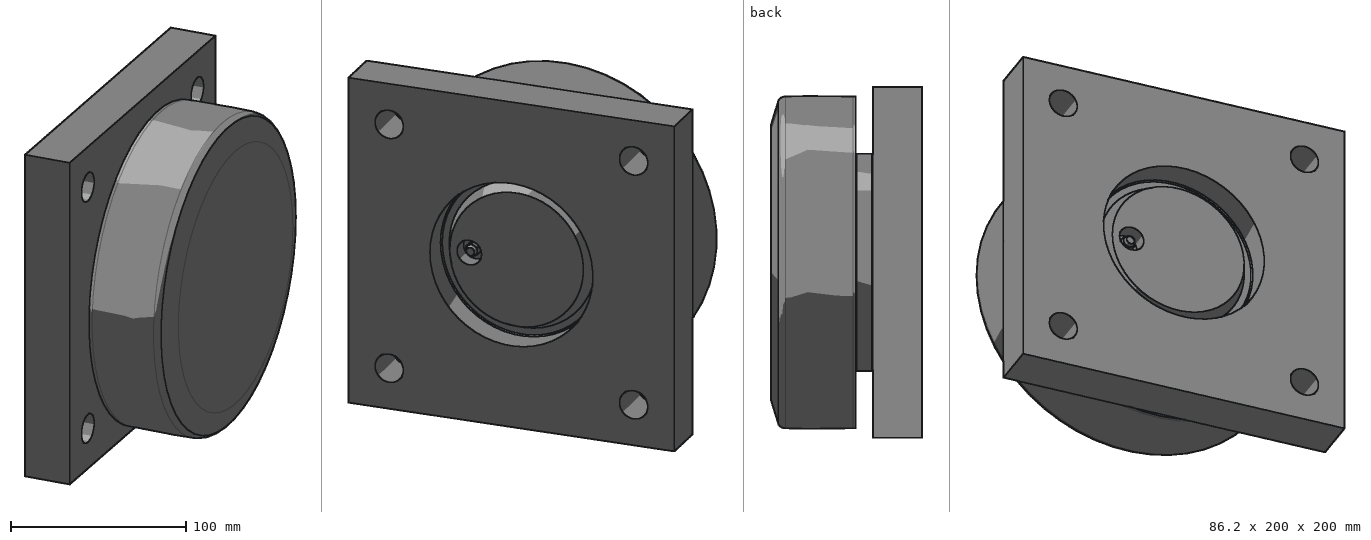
import cadquery as cq
import math

plate_side = 200.0
plate_thickness = 28.0
bolt_spacing = 150.0
bolt_hole_diameter = 17.29

overall_length = 86.15
neck_diameter = 124.0
neck_edge_chamfer = 0.6
roller_diameter = 190.0
crown_height = 0.3
roller_start = 37.7
inner_land_width = 1.8
outer_edge_start = 78.0
outer_edge_drop = 2.2
end_cone_start = 81.9
end_face_diameter = 157.0

bore_diameter = 100.0
bore_depth = 17.0
bore_floor_chamfer = 0.8
pin_end_diameter = 90.0
pin_taper_width = 4.0
pin_end_height = 9.0
pin_face = bore_depth - pin_end_height

nipple_offset = 29.0
nipple_pocket_diameter = 15.0
nipple_pocket_depth = 10.0
nipple_hex_width = 7.0
nipple_hex_height = 6.5
nipple_cone_height = 2.0
nipple_tip_diameter = 4.92


def x_cylinder(diameter, start, length):
    return cq.Workplane("YZ", origin=(start, 0, 0)).circle(diameter / 2).extrude(length)


def make_plate():
    plate = cq.Workplane("YZ").rect(plate_side, plate_side).extrude(plate_thickness)
    bolt_holes = (
        cq.Workplane("YZ")
        .rect(bolt_spacing, bolt_spacing, forConstruction=True)
        .vertices()
        .circle(bolt_hole_diameter / 2)
        .extrude(plate_thickness)
    )
    bore = x_cylinder(bore_diameter, 0, bore_depth).faces(">X").chamfer(bore_floor_chamfer)
    return plate.cut(bolt_holes).cut(bore)


def make_neck():
    neck = x_cylinder(neck_diameter, plate_thickness, roller_start - plate_thickness)
    return neck.edges().chamfer(neck_edge_chamfer)


def make_roller():
    crown_radius = roller_diameter / 2
    rim_radius = crown_radius - crown_height
    crown_start = roller_start + inner_land_width
    crown_middle = (crown_start + outer_edge_start) / 2
    profile = (
        cq.Workplane("XY")
        .moveTo(roller_start, 0)
        .lineTo(roller_start, rim_radius)
        .lineTo(crown_start, rim_radius)
        .threePointArc((crown_middle, crown_radius), (outer_edge_start, rim_radius))
        .tangentArcPoint((end_cone_start, rim_radius - outer_edge_drop), relative=False)
        .lineTo(overall_length, end_face_diameter / 2)
        .lineTo(overall_length, 0)
        .close()
    )
    return profile.revolve(360, (0, 0, 0), (1, 0, 0))


def make_pin_end():
    """Frustum that narrows from the bore floor towards the open side."""
    half_angle = math.degrees(math.atan(pin_taper_width / pin_end_height))
    return (
        cq.Workplane("YZ", origin=(bore_depth, 0, 0))
        .circle(pin_end_diameter / 2)
        .extrude(-pin_end_height, taper=half_angle)
    )


def make_nipple_pocket():
    pocket = x_cylinder(nipple_pocket_diameter, pin_face, nipple_pocket_depth)
    return pocket.translate((0, nipple_offset, 0))


def make_nipple():
    """Hexagon with corners up and down, topped by a cone towards the open side."""
    pocket_floor = pin_face + nipple_pocket_depth
    hex_corner_diameter = nipple_hex_width / math.cos(math.pi / 6)
    hexagon = (
        cq.Workplane("YZ", origin=(pocket_floor, nipple_offset, 0))
        .transformed(rotate=(0, 0, 90))
        .polygon(6, hex_corner_diameter)
        .extrude(-nipple_hex_height)
    )
    head = (
        cq.Workplane("YZ", origin=(pocket_floor - nipple_hex_height, nipple_offset, 0))
        .circle(nipple_hex_width / 2)
        .workplane(offset=-nipple_cone_height)
        .circle(nipple_tip_diameter / 2)
        .loft(ruled=True)
    )
    return hexagon.union(head)


body = make_plate().union(make_neck()).union(make_roller()).union(make_pin_end())
result = body.cut(make_nipple_pocket()).union(make_nipple())